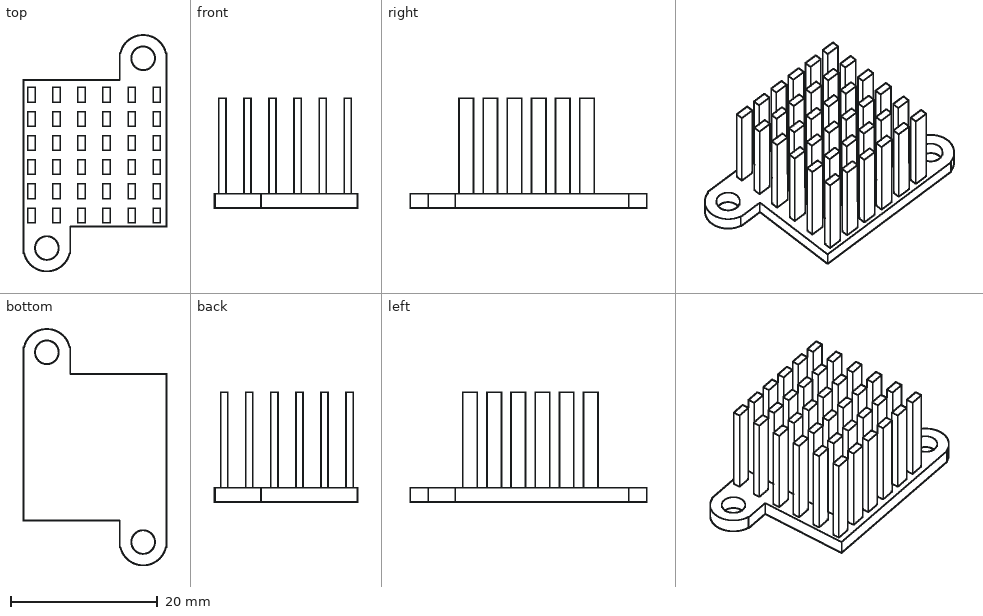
import cadquery as cq

plate_width = 19.5
plate_length = 20.0
plate_thickness = 2.0

total_length = 32.25
total_height = 15.0

ear_diameter = 6.4
hole_diameter = 3.2
ear_overrun = 0.7
ear_x = (plate_width - ear_diameter) / 2
ear_y = (total_length - ear_diameter) / 2

pin_count = 6
pin_width = 1.0
pin_depth = 2.0
pin_pitch_x = 3.42
pin_pitch_y = 3.3
pin_margin_x = 0.58
pin_margin_y = 0.5
pin_height = total_height - plate_thickness


def make_ear(side):
    """Flat arm with a round end; side is +1 for the +X +Y corner, -1 for the opposite one."""
    arm_length = ear_y + ear_overrun
    arm = (
        cq.Workplane("XY")
        .center(side * ear_x, side * arm_length / 2)
        .rect(ear_diameter, arm_length)
        .extrude(plate_thickness)
    )
    round_end = (
        cq.Workplane("XY")
        .center(side * ear_x, side * ear_y)
        .circle(ear_diameter / 2)
        .extrude(plate_thickness)
    )
    return arm.union(round_end)


def make_pins():
    """Grid of rectangular cooling pins, set in from the -X and -Y plate edges, standing on the plate."""
    first_x = -plate_width / 2 + pin_margin_x + pin_width / 2
    first_y = -plate_length / 2 + pin_margin_y + pin_depth / 2
    half_span_x = pin_pitch_x * (pin_count - 1) / 2
    half_span_y = pin_pitch_y * (pin_count - 1) / 2
    return (
        cq.Workplane("XY")
        .workplane(offset=plate_thickness)
        .center(first_x + half_span_x, first_y + half_span_y)
        .rarray(pin_pitch_x, pin_pitch_y, pin_count, pin_count)
        .rect(pin_width, pin_depth)
        .extrude(pin_height)
    )


plate = cq.Workplane("XY").rect(plate_width, plate_length).extrude(plate_thickness)

ear_holes = (
    cq.Workplane("XY")
    .pushPoints([(side * ear_x, side * ear_y) for side in (1, -1)])
    .circle(hole_diameter / 2)
    .extrude(plate_thickness)
)

result = plate.union(make_ear(1)).union(make_ear(-1)).cut(ear_holes).union(make_pins())